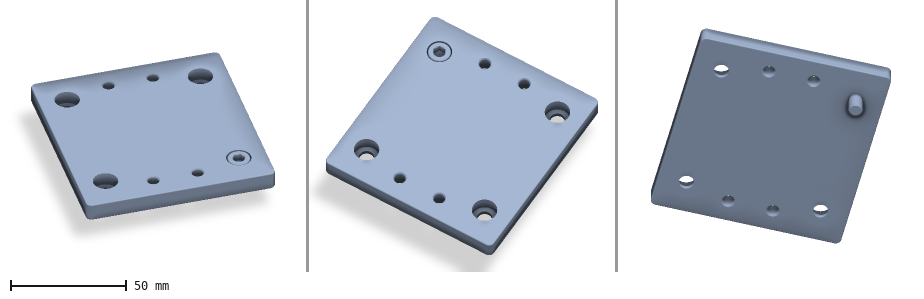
import cadquery as cq
import math

plate_length = 90.0
plate_width = 85.0
plate_thickness = 8.0
corner_radius = 2.5
edge_fillet = 0.5

screw_spacing = 60.0
clearance_diameter = 6.6
counterbore_diameter = 11.0
counterbore_depth = 6.0

small_hole_spacing_x = 70.0
small_hole_spacing_y = 20.0
small_hole_diameter = 5.0
rim_chamfer = 0.5

thread_diameter = 6.0
shank_length = 10.0
shank_tip_chamfer = 0.5
head_diameter = 10.0
head_height = counterbore_depth
head_edge_fillet = 0.6
socket_across_flats = 5.0
socket_depth = 3.5
socket_rim_radius = 2.9
socket_cone_angle = 120.0

seat_z = plate_thickness - counterbore_depth
screw_x = screw_spacing / 2
screw_y = screw_spacing / 2


def make_plate():
    """Plate with rounded edges, four counterbored and four small holes."""
    plate = (
        cq.Workplane("XY")
        .box(plate_length, plate_width, plate_thickness, centered=(True, True, False))
        .edges("|Z")
        .fillet(corner_radius)
        .faces("<Z or >Z")
        .edges()
        .fillet(edge_fillet)
    )
    plate = (
        plate.faces(">Z")
        .workplane(origin=(0, 0, plate_thickness))
        .rarray(screw_spacing, screw_spacing, 2, 2)
        .cboreHole(clearance_diameter, counterbore_diameter, counterbore_depth)
    )
    small_hole = make_small_hole_cutter()
    for side_x in (-1, 1):
        for side_y in (-1, 1):
            x = side_x * small_hole_spacing_x / 2
            y = side_y * small_hole_spacing_y / 2
            plate = plate.cut(small_hole.translate((x, y, 0)))
    return plate


def make_small_hole_cutter():
    """Volume of one small hole, flared at both rims."""
    radius = small_hole_diameter / 2
    rim_radius = radius + rim_chamfer
    return (
        cq.Workplane("XZ")
        .moveTo(0, 0)
        .lineTo(rim_radius, 0)
        .lineTo(radius, rim_chamfer)
        .lineTo(radius, plate_thickness - rim_chamfer)
        .lineTo(rim_radius, plate_thickness)
        .lineTo(0, plate_thickness)
        .close()
        .revolve(360, (0, 0, 0), (0, 1, 0))
    )


def make_screw():
    """Cap screw with a hexagon socket; the underside of its head is on Z = 0."""
    head = (
        cq.Workplane("XY")
        .circle(head_diameter / 2)
        .extrude(head_height)
        .faces(">Z")
        .edges()
        .fillet(head_edge_fillet)
    )
    shank = (
        cq.Workplane("XY")
        .circle(thread_diameter / 2)
        .extrude(-shank_length)
        .faces("<Z")
        .chamfer(shank_tip_chamfer)
    )
    return head.union(shank).cut(make_socket_cutter())


def make_socket_cutter():
    """Hexagon socket with corners on the Y axis, a countersunk rim and a drilled conical floor."""
    across_corners = socket_across_flats / math.cos(math.pi / 6)
    floor_z = head_height - socket_depth
    cone_radius = socket_across_flats / 2
    cone_depth = cone_radius / math.tan(math.radians(socket_cone_angle / 2))
    hexagon = (
        cq.Workplane("XY")
        .workplane(offset=floor_z)
        .polygon(6, across_corners)
        .extrude(socket_depth)
        .rotate((0, 0, 0), (0, 0, 1), 90)
    )
    cone = make_downward_cone(cone_radius, 0, cone_depth, floor_z)
    rim_depth = socket_rim_radius - cone_radius
    rim = make_downward_cone(socket_rim_radius, cone_radius, rim_depth, head_height)
    return hexagon.union(cone).union(rim)


def make_downward_cone(top_radius, bottom_radius, depth, top_z):
    """Cone or frustum on the Z axis, reaching down from top_z."""
    axis_start = cq.Vector(0, 0, top_z)
    downward = cq.Vector(0, 0, -1)
    return cq.Workplane(cq.Solid.makeCone(top_radius, bottom_radius, depth, axis_start, downward))


plate = make_plate()
screw = make_screw().translate((screw_x, screw_y, seat_z))

result = cq.Compound.makeCompound([plate.val(), screw.val()])